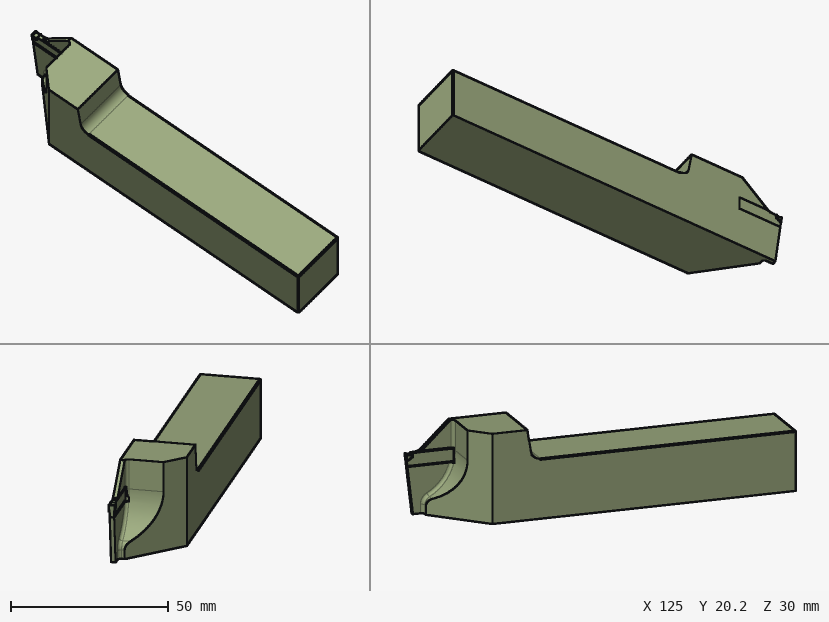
import cadquery as cq
import math

LENGTH = 125.0
SHANK = 20.0
HEAD_HEIGHT = 30.0
EDGE_BREAK = 0.4

TOE_X = 2.2
JAW_X = 5.0
HEAD_TOP_FRONT = 14.9
HEAD_TOP_BACK = 34.1
HEAD_FOOT_X = 35.8
HEAD_BLEND = 3.2
HEAD_LEAN = math.atan((HEAD_FOOT_X - HEAD_TOP_BACK) / (HEAD_HEIGHT - SHANK))
SHANK_START = HEAD_FOOT_X + HEAD_BLEND * math.tan((math.pi / 2 - HEAD_LEAN) / 2)
BEVEL_X = 22.2

BLADE = 1.5
WALL_X = 16.1
SCOOP_RADIUS = 16.2
TOE_WALL_X = 5.9
TOE_RADIUS = 2.9
ROOT_FILLET = 1.1

SEAT_Z = 15.9
JAW_Z = 20.8
SLOT_END = 15.9
INSERT_FRONT_FOOT = 0.4
TIP_LENGTH = 2.1
TIP_BACK_Z = 20.2
LAND = 0.4
GROOVE_DIP = 0.2
RAMP_X = 4.1
RAMP_Z = 20.4
TIP_SIDE_Z = 19.1
TIP_FRONT_Z = 17.9
TIP_OVERHANG = 0.2
INSERT_BREAK = 0.4
MARGIN = 6.2


def side_profile():
    """Full side outline of the holder, extruded across the shank width."""
    return (
        cq.Workplane("XZ")
        .moveTo(TOE_X, 0)
        .lineTo(LENGTH, 0)
        .lineTo(LENGTH, SHANK)
        .lineTo(HEAD_FOOT_X, SHANK)
        .lineTo(HEAD_TOP_BACK, HEAD_HEIGHT)
        .lineTo(HEAD_TOP_FRONT, HEAD_HEIGHT)
        .lineTo(JAW_X, JAW_Z)
        .lineTo(INSERT_FRONT_FOOT, SEAT_Z)
        .close()
        .extrude(SHANK)
    )


def bevel_cutter():
    """Prism that cuts the 45 degree bevel on the front of the head."""
    return (
        cq.Workplane("XY")
        .polyline([
            (BEVEL_X + MARGIN, -SHANK - MARGIN),
            (BEVEL_X - SHANK + BLADE, -BLADE),
            (-MARGIN, -BLADE),
            (-MARGIN, -SHANK - MARGIN),
        ])
        .close()
        .extrude(HEAD_HEIGHT)
    )


def scoop_cutter():
    """Relief that leaves the thin blade, with a rounded root along its wall."""
    center_x = WALL_X - SCOOP_RADIUS
    center_z = SHANK
    toe_center_x = TOE_WALL_X + TOE_RADIUS
    join_angle = math.acos((toe_center_x - center_x) / (SCOOP_RADIUS + TOE_RADIUS))
    drop = math.sin(join_angle)
    run = math.cos(join_angle)
    toe_center_z = center_z - (SCOOP_RADIUS + TOE_RADIUS) * drop
    scoop_mid = (
        center_x + SCOOP_RADIUS * math.cos(join_angle / 2),
        center_z - SCOOP_RADIUS * math.sin(join_angle / 2),
    )
    toe_mid = (
        toe_center_x - TOE_RADIUS * math.cos(join_angle / 2),
        toe_center_z + TOE_RADIUS * math.sin(join_angle / 2),
    )
    cutter = (
        cq.Workplane("XZ", origin=(0, -BLADE, 0))
        .moveTo(WALL_X, HEAD_HEIGHT + MARGIN)
        .lineTo(WALL_X, center_z)
        .threePointArc(scoop_mid, (center_x + SCOOP_RADIUS * run, center_z - SCOOP_RADIUS * drop))
        .threePointArc(toe_mid, (TOE_WALL_X, toe_center_z))
        .lineTo(TOE_WALL_X, -MARGIN)
        .lineTo(-MARGIN, -MARGIN)
        .lineTo(-MARGIN, HEAD_HEIGHT + MARGIN)
        .close()
        .extrude(SHANK)
    )
    return cutter.faces(">Y").edges().fillet(ROOT_FILLET)


def slot_cutter():
    """Slot through the blade, also clearing the root fillet beside the insert."""
    depth = BLADE + ROOT_FILLET
    return (
        cq.Workplane("XY")
        .box(SLOT_END + MARGIN, depth, JAW_Z - SEAT_Z, centered=False)
        .translate((-MARGIN, -depth, SEAT_Z))
    )


def shank_edge_cutter(y, inward):
    """Triangular prism that chamfers one long top edge of the shank, behind the head blend."""
    return (
        cq.Workplane("YZ", origin=(SHANK_START, 0, 0))
        .polyline([(y, SHANK - EDGE_BREAK), (y, SHANK), (y + inward * EDGE_BREAK, SHANK)])
        .close()
        .extrude(LENGTH - SHANK_START)
    )


def make_holder():
    body = side_profile()
    body = body.faces(">X").edges("not <Z").chamfer(EDGE_BREAK)
    corner = cq.selectors.NearestToPointSelector((HEAD_FOOT_X, -SHANK / 2, SHANK))
    body = body.edges(corner).fillet(HEAD_BLEND)
    for y, inward in ((0, -1), (-SHANK, 1)):
        body = body.cut(shank_edge_cutter(y, inward))
    return body.cut(bevel_cutter()).cut(scoop_cutter()).cut(slot_cutter())


def chip_groove(profile):
    """Continue a profile from the back of the tip over the chip groove to the cutting edge."""
    groove_bottom = ((LAND + TIP_LENGTH) / 2, SHANK - GROOVE_DIP)
    return profile.threePointArc(groove_bottom, (LAND, SHANK)).lineTo(0, SHANK)


def insert_bar():
    """Long bar flush with both sides of the blade."""
    profile = (
        cq.Workplane("XZ")
        .moveTo(INSERT_FRONT_FOOT, SEAT_Z)
        .lineTo(SLOT_END, SEAT_Z)
        .lineTo(SLOT_END, JAW_Z)
        .lineTo(JAW_X, JAW_Z)
        .lineTo(RAMP_X, RAMP_Z)
        .lineTo(TIP_LENGTH, TIP_BACK_Z)
    )
    bar = chip_groove(profile).close().extrude(BLADE)
    seat_edge = cq.selectors.NearestToPointSelector((SLOT_END / 2, -BLADE, SEAT_Z))
    jaw_edge = cq.selectors.NearestToPointSelector(((JAW_X + SLOT_END) / 2, -BLADE, JAW_Z))
    return bar.edges(seat_edge + jaw_edge).chamfer(INSERT_BREAK)


def insert_tip():
    """Cutting tip, wider than the bar on both sides."""
    front_slope = INSERT_FRONT_FOOT / (SHANK - SEAT_Z)
    profile = (
        cq.Workplane("XZ", origin=(0, TIP_OVERHANG, 0))
        .moveTo(front_slope * (SHANK - TIP_FRONT_Z), TIP_FRONT_Z)
        .lineTo(TIP_LENGTH, TIP_SIDE_Z)
        .lineTo(TIP_LENGTH, TIP_BACK_Z)
    )
    return chip_groove(profile).close().extrude(BLADE + 2 * TIP_OVERHANG)


def make_insert():
    return insert_bar().union(insert_tip())


holder = make_holder()
insert = make_insert()
result = cq.Compound.makeCompound([holder.solids().val(), insert.solids().val()])